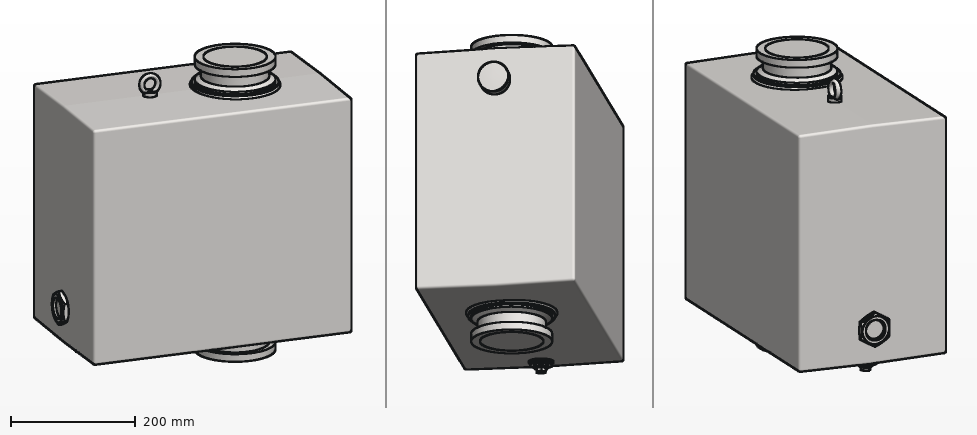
import cadquery as cq
import math

body_width = 260.0
body_length = 446.5
ridge_half_height = 200.0
ridge_rise = 2.0
eave_half_height = ridge_half_height - ridge_rise
edge_radius = 4.5

overall_height = 494.0
port_y = 73.0
port_flange_diameter = 130.0
port_flange_thickness = 13.0
port_neck_diameter = 110.0
port_face_diameter = 102.0
port_face_depth = 0.5
port_cone_height = 5.5
port_step_height = 4.0
port_collar_diameter = 140.0
port_collar_height = 2.0
port_foot_diameter = 148.0
port_cone_top = 214.5

eye_y = -74.0
eye_outer_diameter = 36.0
eye_hole_diameter = 20.0
eye_center_z = 219.0
eye_wire_width = 10.0
eye_stem_diameter = 22.0
eye_stem_top = 207.0

drain_y = -194.0
drain_foot_diameter = 40.0
drain_flange_diameter = 36.0
drain_flange_bottom = -205.5
drain_flange_thickness = 3.0
drain_shank_diameter = 22.0
drain_shank_bottom = -209.5
drain_taper_diameter = 20.0
drain_taper_bottom = -211.0
drain_hex_diameter = 17.0
drain_hex_bottom = -217.0
drain_hex_angle = 45

nut_z = -140.0
nut_thickness = 11.0
nut_across_corners = 57.5
nut_bevel_diameter = 46.5
nut_bevel_depth = 3.0
nut_recess_diameter = 34.5
nut_recess_floor_diameter = 31.0
nut_recess_depth = 4.5

stub_z = 145.5
stub_length = 20.7
stub_diameter = 49.0
stub_cap_diameter = 49.5
stub_cap_thickness = 4.5
stub_dome_rise = 1.0

root_depth = 5.0


def revolve_about_z(profile, y):
    """Revolve a closed (radius, z) outline about the vertical axis at x = 0 and the given y."""
    outline = cq.Workplane("XZ").polyline(profile).close()
    return outline.revolve(360, (0, 0, 0), (0, 1, 0)).translate((0, y, 0))


def make_body():
    half_width = body_width / 2
    section = [
        (-half_width, -eave_half_height),
        (0, -ridge_half_height),
        (half_width, -eave_half_height),
        (half_width, eave_half_height),
        (0, ridge_half_height),
        (-half_width, eave_half_height),
    ]
    block = cq.Workplane("XZ").polyline(section).close().extrude(body_length / 2, both=True)
    return block.edges("|Z or <X or >X or <Y or >Y").fillet(edge_radius)


def make_port():
    top = overall_height / 2
    flange_bottom = top - port_flange_thickness
    cone_bottom = port_cone_top - port_cone_height
    collar_top = cone_bottom - port_step_height
    flange_radius = port_flange_diameter / 2
    neck_radius = port_neck_diameter / 2
    collar_radius = port_collar_diameter / 2
    foot_radius = port_foot_diameter / 2
    face_radius = port_face_diameter / 2
    profile = [
        (0, top - port_face_depth),
        (face_radius, top - port_face_depth),
        (face_radius, top),
        (flange_radius, top),
        (flange_radius, flange_bottom),
        (neck_radius, flange_bottom),
        (neck_radius, port_cone_top),
        (flange_radius, cone_bottom),
        (flange_radius, collar_top),
        (collar_radius, collar_top),
        (collar_radius, collar_top - port_collar_height),
        (foot_radius, eave_half_height),
        (foot_radius, ridge_half_height - root_depth),
        (0, ridge_half_height - root_depth),
    ]
    return revolve_about_z(profile, port_y)


def make_lifting_eye():
    wire_radius = (eye_outer_diameter - eye_hole_diameter) / 4
    ring_radius = eye_hole_diameter / 2 + wire_radius
    ring = (
        cq.Workplane("XZ", origin=(0, eye_y, eye_center_z))
        .center(0, ring_radius)
        .ellipse(eye_wire_width / 2, wire_radius)
        .revolve(360, (0, -ring_radius, 0), (1, -ring_radius, 0))
    )
    stem_bottom = ridge_half_height - root_depth
    stem = (
        cq.Workplane("XY", origin=(0, eye_y, stem_bottom))
        .circle(eye_stem_diameter / 2)
        .extrude(eye_stem_top - stem_bottom)
    )
    return ring.union(stem)


def make_drain_plug():
    root = -ridge_half_height + root_depth
    flange_radius = drain_flange_diameter / 2
    foot_radius = drain_foot_diameter / 2
    shank_radius = drain_shank_diameter / 2
    profile = [
        (0, root),
        (foot_radius, root),
        (foot_radius, -ridge_half_height),
        (flange_radius, drain_flange_bottom + drain_flange_thickness),
        (flange_radius, drain_flange_bottom),
        (shank_radius, drain_flange_bottom),
        (shank_radius, drain_shank_bottom),
        (drain_taper_diameter / 2, drain_taper_bottom),
        (0, drain_taper_bottom),
    ]
    head = (
        cq.Workplane("XY", origin=(0, drain_y, drain_hex_bottom))
        .transformed(rotate=(0, 0, drain_hex_angle))
        .polygon(6, drain_hex_diameter)
        .extrude(drain_taper_bottom - drain_hex_bottom)
    )
    return revolve_about_z(profile, drain_y).union(head)


def make_hex_plug():
    body_front = -body_length / 2
    plug_front = body_front - nut_thickness
    plane = cq.Workplane("XZ", origin=(0, body_front + root_depth, nut_z))
    prism = (
        plane.transformed(rotate=(0, 0, 90))
        .polygon(6, nut_across_corners)
        .extrude(nut_thickness + root_depth)
    )
    corner_radius = nut_across_corners / 2
    bevel_radius = nut_bevel_diameter / 2
    recess_floor = plug_front + nut_recess_depth
    turned_profile = [
        (0, body_front + root_depth),
        (bevel_radius, body_front + root_depth),
        (bevel_radius, body_front),
        (corner_radius, body_front - nut_bevel_depth),
        (corner_radius, plug_front + nut_bevel_depth),
        (bevel_radius, plug_front),
        (nut_recess_diameter / 2, plug_front),
        (nut_recess_floor_diameter / 2, recess_floor),
        (0, recess_floor),
    ]
    turned = (
        cq.Workplane("XY", origin=(0, 0, nut_z))
        .polyline(turned_profile)
        .close()
        .revolve(360, (0, 0, 0), (0, 1, 0))
    )
    return prism.intersect(turned)


def make_pipe_stub():
    back_face = body_length / 2
    stub_end = back_face + stub_length
    cap_start = stub_end - stub_cap_thickness
    cap_rim = stub_end - stub_dome_rise
    pipe_radius = stub_diameter / 2
    cap_radius = stub_cap_diameter / 2
    dome_radius = (cap_radius**2 + stub_dome_rise**2) / (2 * stub_dome_rise)
    dome_middle_x = cap_radius / 2
    dome_middle_y = stub_end - dome_radius + math.sqrt(dome_radius**2 - dome_middle_x**2)
    outline = (
        cq.Workplane("XY", origin=(0, 0, stub_z))
        .moveTo(0, back_face - root_depth)
        .lineTo(pipe_radius, back_face - root_depth)
        .lineTo(pipe_radius, cap_start)
        .lineTo(cap_radius, cap_start)
        .lineTo(cap_radius, cap_rim)
        .threePointArc((dome_middle_x, dome_middle_y), (0, stub_end))
        .close()
    )
    return outline.revolve(360, (0, 0, 0), (0, 1, 0))


top_port = make_port()
bottom_port = top_port.mirror("XY")

result = make_body()
for fitting in (
    top_port,
    bottom_port,
    make_lifting_eye(),
    make_drain_plug(),
    make_hex_plug(),
    make_pipe_stub(),
):
    result = result.union(fitting)